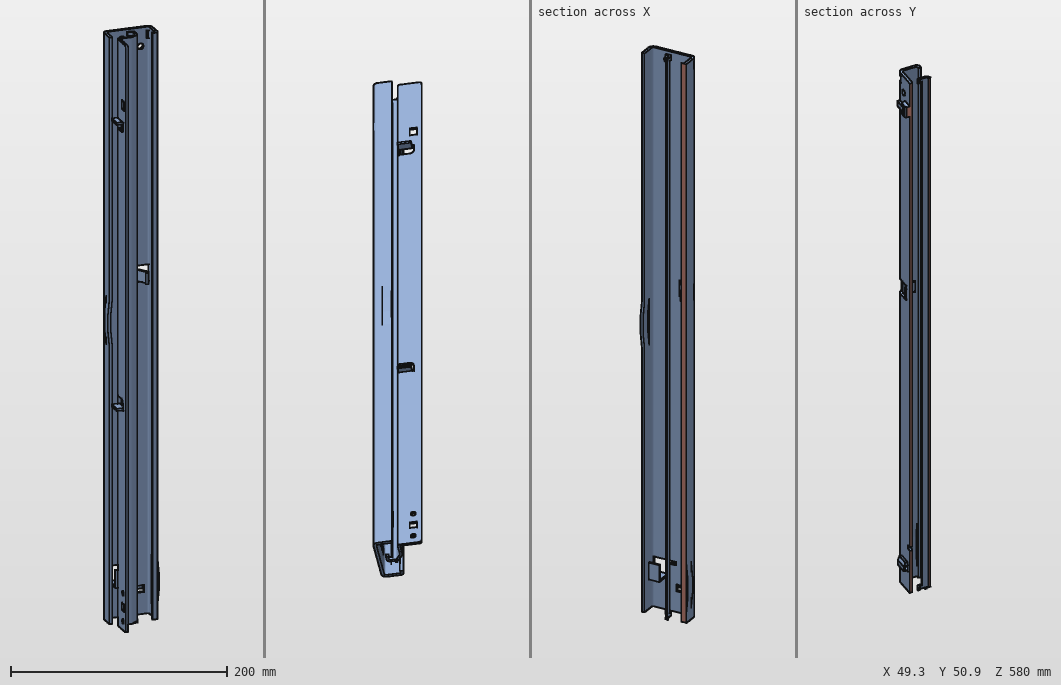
import cadquery as cq

RAIL_LENGTH = 578.0
RAIL_SHEET = 3.0
RAIL_HALF_WIDTH = 24.0
RAIL_BEND = 3.2
RAIL_LIP_BEND = 2.0
TOP_FLANGE_REACH = 21.0
TOP_LIP_END = 18.0
BOTTOM_FLANGE_REACH = 18.0

JOGGLE_OFFSET = 1.45
JOGGLE_START = 9.0
JOGGLE_FLAT = 17.5
JOGGLE_LENGTH = 47.5
TOP_JOGGLE_END = TOP_FLANGE_REACH - RAIL_SHEET
TOP_JOGGLE_HEIGHT = 36.0
BOTTOM_JOGGLE_HEIGHT = 297.0

ROUND_HOLE = 6.0
ROUND_HOLE_CENTRES = [(-6.0, 569.0), (13.0, 559.5)]
CORNER_NOTCH_HEIGHT = 571.0
CORNER_NOTCH_LENGTH = 7.5
CORNER_NOTCH_BOTTOM = 18.5

WINDOW_HEIGHT = 336.0
WINDOW_LENGTH = 16.0
WINDOW_BOTTOM = 7.5
TONGUE_HEIGHT = 334.0
TONGUE_LENGTH = 11.0
TONGUE_SHEET = 2.5
TONGUE_BEND = 2.0
TONGUE_ROOT = 6.5
TONGUE_FOLD = 10.5
TONGUE_PATH = [(RAIL_SHEET / 2, TONGUE_ROOT), (RAIL_SHEET / 2, TONGUE_FOLD), (10.5, 17.0), (13.5, 15.0)]

LATCH_HEIGHT = 546.5
LATCH_REACH = 4.35
LATCH_FOOT_WIDTH = 12.0
LATCH_FOOT_START = -3.5
LATCH_FOOT_STEP = 1.0
LATCH_CREST_START = 2.0
LATCH_CREST_END = 7.5
LATCH_FOOT_END = 10.0
LATCH_NOSE_WIDTH = 6.0
LATCH_NOSE_END = 17.0
LATCH_GAP = 2.0
LATCH_SLOT_START = 3.0
LATCH_SLOT_END = 6.0
LATCH_SLOT_LENGTH = 7.5
LATCH_SLOT_DEPTH = 2.0

FINGER_TOP = 32.5
FINGER_BOTTOM = 23.0
FINGER_SHOULDER = 28.5
FINGER_CENTRE = 10.5
FINGER_WIDTH = 12.0
FINGER_REACH = 4.0
FINGER_SHEET = 2.0
FINGER_OPENING_BOTTOM = 21.5

POCKET_TOP = 51.5
POCKET_BOTTOM = 34.0
POCKET_CENTRE = -11.5
POCKET_WIDTH = 17.0
SHELF_WIDTH = 11.0
SHELF_REACH = 16.0
SHELF_SHEET = 2.0
POCKET_RELIEF = 3.5
SIDE_SLOT_END = 4.0
SIDE_SLOT_WIDTH = 3.5

BRACKET_SHEET = 2.5
BRACKET_BEND = 1.45
LIP_START = 14.0
LIP_END = 18.5
LIP_LEVEL = 2.6
WALL_CENTRE = 23.0
WALL_TOP = -4.0
FLANGE_LEVEL = -16.55
FLANGE_END = 44.95
FLANGE_CORNER = 2.5

STOP_LENGTH = 3.5
STOP_CENTRE = 10.0
STOP_BOTTOM = -3.0
STOP_BEND = 2.0
NUB_LENGTH = 2.0
NUB_WIDTH = 2.0

SQUARE_HOLE = 7.0
UPPER_HOLE_HEIGHT = 8.5
UPPER_HOLE_CENTRE = (37.0, 517.5)
LOWER_HOLE_CENTRE = (37.0, 22.5)
SCREW_HOLE = 4.5
SCREW_HOLE_PITCH = 14.0

SLOT_START = WALL_CENTRE
SLOT_END = 37.5
SLOT_WIDTH = 10.5
SLOT_CORNER = 4.0
TAB_SHEET = 2.5
TAB_TIP = -23.0
TAB_END = 36.0
UPPER_SLOT_HEIGHT = 495.5
LOWER_SLOT_HEIGHT = 221.5


def block(x_range, y_range, z_range):
    """A box given by its limits along each axis."""
    limits = (x_range, y_range, z_range)
    sizes = [high - low for low, high in limits]
    low_corner = cq.Vector(*[low for low, high in limits])
    return cq.Workplane("XY").box(*sizes, centered=False).translate(low_corner)


def centred(middle, size):
    """The limits of a range of the given size about its middle."""
    return (middle - size / 2, middle + size / 2)


def bent_sheet(corners, bends, sheet, bottom, length):
    """A folded sheet standing along Z; its middle line runs in XY with one bend radius per inner corner."""
    points = [cq.Vector(x, y, bottom + length / 2) for x, y in corners]
    path = cq.Wire.makePolygon(points)
    for corner, bend in zip(points[1:-1], bends):
        vertex = min(path.Vertices(), key=lambda candidate: (candidate.Center() - corner).Length)
        path = path.fillet(bend, [vertex])
    profile_plane = cq.Plane(origin=path.startPoint(), xDir=(0, 0, 1), normal=path.tangentAt(0))
    return cq.Workplane(profile_plane).rect(length, sheet).sweep(path)


def rail_channel():
    half_sheet = RAIL_SHEET / 2
    flange_level = RAIL_HALF_WIDTH - half_sheet
    lip_x = TOP_FLANGE_REACH - half_sheet
    corners = [
        (lip_x, TOP_LIP_END),
        (lip_x, flange_level),
        (half_sheet, flange_level),
        (half_sheet, -flange_level),
        (BOTTOM_FLANGE_REACH, -flange_level),
    ]
    bends = [RAIL_LIP_BEND, RAIL_BEND, RAIL_BEND]
    return bent_sheet(corners, bends, RAIL_SHEET, 0, RAIL_LENGTH)


def joggle_wedge(side, level, height, end):
    """The trapezoid between a flange face at the given level and its offset stretch."""
    outer_level = level + JOGGLE_OFFSET
    half_length = JOGGLE_LENGTH / 2
    half_flat = JOGGLE_FLAT / 2
    return (
        cq.Workplane("YZ", origin=(JOGGLE_START, 0, 0))
        .polyline(
            [
                (side * level, height - half_length),
                (side * outer_level, height - half_flat),
                (side * outer_level, height + half_flat),
                (side * level, height + half_length),
            ]
        )
        .close()
        .extrude(end - JOGGLE_START)
    )


def joggle_flange(rail, side, height, end):
    raised = joggle_wedge(side, RAIL_HALF_WIDTH, height, end)
    recess = joggle_wedge(side, RAIL_HALF_WIDTH - RAIL_SHEET, height, end)
    return rail.union(raised).cut(recess)


def web_openings():
    """Everything cut from the web: round holes, corner notch, window, pocket and finger opening."""
    through_web = (0, RAIL_SHEET)
    through_bend = (0, RAIL_BEND)
    openings = cq.Workplane("YZ").pushPoints(ROUND_HOLE_CENTRES).circle(ROUND_HOLE / 2).extrude(RAIL_SHEET)
    notch = block(
        through_bend,
        (CORNER_NOTCH_BOTTOM, RAIL_HALF_WIDTH),
        centred(CORNER_NOTCH_HEIGHT, CORNER_NOTCH_LENGTH),
    )
    window = block(through_bend, (WINDOW_BOTTOM, RAIL_HALF_WIDTH), centred(WINDOW_HEIGHT, WINDOW_LENGTH))
    pocket = block(through_web, centred(POCKET_CENTRE, POCKET_WIDTH), (POCKET_BOTTOM, POCKET_TOP))
    side_slot = block(through_web, (POCKET_CENTRE, SIDE_SLOT_END), (POCKET_TOP - SIDE_SLOT_WIDTH, POCKET_TOP))
    relief = (
        cq.Workplane("YZ")
        .center(POCKET_CENTRE, POCKET_BOTTOM)
        .circle(POCKET_RELIEF / 2)
        .extrude(RAIL_SHEET)
    )
    finger_opening = block(
        through_web, centred(FINGER_CENTRE, FINGER_WIDTH), (FINGER_OPENING_BOTTOM, FINGER_SHOULDER)
    )
    for opening in (notch, window, pocket, side_slot, relief, finger_opening):
        openings = openings.union(opening)
    return openings


def window_tongue():
    bottom = TONGUE_HEIGHT - TONGUE_LENGTH / 2
    bends = [TONGUE_BEND] * (len(TONGUE_PATH) - 2)
    return bent_sheet(TONGUE_PATH, bends, TONGUE_SHEET, bottom, TONGUE_LENGTH)


def latch():
    foot = (
        cq.Workplane("XY", origin=(0, 0, LATCH_HEIGHT - LATCH_FOOT_WIDTH / 2))
        .polyline(
            [
                (0, LATCH_FOOT_START),
                (-LATCH_FOOT_STEP, LATCH_FOOT_START),
                (-LATCH_REACH, LATCH_CREST_START),
                (-LATCH_REACH, LATCH_CREST_END),
                (0, LATCH_FOOT_END),
            ]
        )
        .close()
        .extrude(LATCH_FOOT_WIDTH)
    )
    nose = block(
        (-LATCH_REACH, -LATCH_GAP),
        (LATCH_CREST_START, LATCH_NOSE_END),
        centred(LATCH_HEIGHT, LATCH_NOSE_WIDTH),
    )
    slot = block(
        (-LATCH_REACH, LATCH_SLOT_DEPTH - LATCH_REACH),
        (LATCH_SLOT_START, LATCH_SLOT_END),
        centred(LATCH_HEIGHT, LATCH_SLOT_LENGTH),
    )
    return foot.union(nose).cut(slot)


def spring_finger():
    return (
        cq.Workplane("XZ", origin=(0, FINGER_CENTRE + FINGER_WIDTH / 2, 0))
        .polyline(
            [
                (0, FINGER_TOP),
                (-FINGER_REACH + FINGER_SHEET, FINGER_TOP),
                (-FINGER_REACH, FINGER_SHOULDER),
                (-FINGER_REACH, FINGER_BOTTOM),
                (-FINGER_REACH + FINGER_SHEET, FINGER_BOTTOM),
                (-FINGER_REACH + FINGER_SHEET, FINGER_SHOULDER),
                (0, FINGER_SHOULDER),
            ]
        )
        .close()
        .extrude(FINGER_WIDTH)
    )


def pocket_shelf():
    across = centred(POCKET_CENTRE, SHELF_WIDTH)
    shelf = block((0, SHELF_REACH), across, (POCKET_BOTTOM, POCKET_BOTTOM + SHELF_SHEET))
    upstand = block((SHELF_REACH - SHELF_SHEET, SHELF_REACH), across, (POCKET_BOTTOM, POCKET_TOP))
    return shelf.union(upstand)


def make_rail():
    rail = rail_channel()
    rail = joggle_flange(rail, 1, TOP_JOGGLE_HEIGHT, TOP_JOGGLE_END)
    rail = joggle_flange(rail, -1, BOTTOM_JOGGLE_HEIGHT, BOTTOM_FLANGE_REACH)
    rail = rail.cut(web_openings())
    for feature in (window_tongue(), latch(), spring_finger(), pocket_shelf()):
        rail = rail.union(feature)
    return rail


def bracket_strip():
    corners = [
        (LIP_START, LIP_LEVEL),
        (LIP_END, LIP_LEVEL),
        (WALL_CENTRE, WALL_TOP),
        (WALL_CENTRE, FLANGE_LEVEL),
        (FLANGE_END, FLANGE_LEVEL),
    ]
    bends = [BRACKET_BEND] * 3
    strip = bent_sheet(corners, bends, BRACKET_SHEET, 0, RAIL_LENGTH)
    return strip.faces(">X").edges("|Y").fillet(FLANGE_CORNER)


def end_stop(bottom):
    """A short fold at the free edge of the lip."""
    corners = [(LIP_START + STOP_BEND, LIP_LEVEL), (STOP_CENTRE, LIP_LEVEL), (STOP_CENTRE, STOP_BOTTOM)]
    return bent_sheet(corners, [STOP_BEND], BRACKET_SHEET, bottom, STOP_LENGTH)


def lip_nub():
    return block(
        (LIP_END - NUB_WIDTH, LIP_END), centred(LIP_LEVEL, BRACKET_SHEET), (-NUB_LENGTH, NUB_LENGTH)
    )


def flange_tool(centre):
    """A workplane just behind the flange, facing -Y, for cuts through it."""
    x, z = centre
    return cq.Workplane("XZ", origin=(x, FLANGE_LEVEL + BRACKET_SHEET, z))


def flange_holes():
    depth = 2 * BRACKET_SHEET
    holes = flange_tool(UPPER_HOLE_CENTRE).rect(SQUARE_HOLE, UPPER_HOLE_HEIGHT).extrude(depth)
    holes = holes.union(flange_tool(LOWER_HOLE_CENTRE).rect(SQUARE_HOLE, SQUARE_HOLE).extrude(depth))
    screw_offsets = [(0, -SCREW_HOLE_PITCH), (0, SCREW_HOLE_PITCH)]
    screw_holes = (
        flange_tool(LOWER_HOLE_CENTRE).pushPoints(screw_offsets).circle(SCREW_HOLE / 2).extrude(depth)
    )
    return holes.union(screw_holes)


def add_tab_slot(bracket, height, tab_side):
    """Cut a slot across the lower bend and bend a tab out of its upper (+1) or lower (-1) side."""
    slot = block((SLOT_START, SLOT_END), (TAB_TIP, FLANGE_LEVEL + BRACKET_SHEET), centred(height, SLOT_WIDTH))
    slot = slot.faces(">X").edges("|Y").edges("<Z" if tab_side > 0 else ">Z").fillet(SLOT_CORNER)
    tab_middle = height + tab_side * (SLOT_WIDTH - TAB_SHEET) / 2
    tab = block(
        (SLOT_START, TAB_END), (TAB_TIP, FLANGE_LEVEL + BRACKET_SHEET / 2), centred(tab_middle, TAB_SHEET)
    )
    return bracket.cut(slot).union(tab)


def make_bracket():
    bracket = bracket_strip().cut(flange_holes())
    bracket = add_tab_slot(bracket, UPPER_SLOT_HEIGHT, 1)
    bracket = add_tab_slot(bracket, LOWER_SLOT_HEIGHT, -1)
    for bottom in (0, RAIL_LENGTH - STOP_LENGTH):
        bracket = bracket.union(end_stop(bottom))
    return bracket.union(lip_nub())


rail = make_rail()
bracket = make_bracket()
result = cq.Compound.makeCompound([rail.val(), bracket.val()])